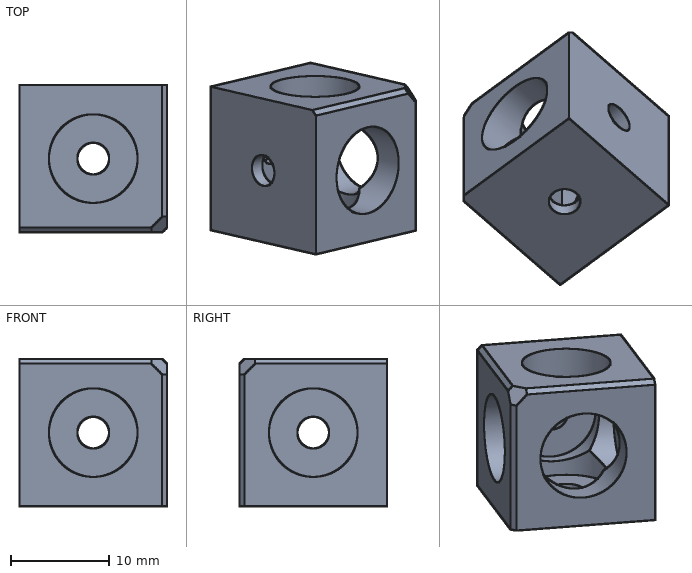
import cadquery as cq

side = 15.0
bore_diameter = 9.0
screw_hole_diameter = 3.2
floor_thickness = 1.5
edge_chamfer = 0.5
corner_setback = 2.1

half = side / 2
bore_depth = side - floor_thickness

bored_faces = [(1, 0, 0), (0, -1, 0), (0, 0, 1)]


def drill(diameter, depth, outward):
    """Cylinder running inward from the centre of the face with this outward direction."""
    start = cq.Vector(*outward) * half
    inward = cq.Vector(*outward) * -1
    return cq.Workplane(obj=cq.Solid.makeCylinder(diameter / 2, depth, start, inward))


def corner_cutter(setback):
    """Tetrahedron that removes the corner shared by the bored faces."""
    corner = cq.Vector(half, -half, half)
    tips = [corner - cq.Vector(*outward) * setback for outward in bored_faces]
    triangles = [
        (tips[0], tips[1], tips[2]),
        (corner, tips[0], tips[1]),
        (corner, tips[1], tips[2]),
        (corner, tips[2], tips[0]),
    ]
    faces = [cq.Face.makeFromWires(cq.Wire.makePolygon(list(t), close=True)) for t in triangles]
    return cq.Workplane(obj=cq.Solid.makeSolid(cq.Shell.makeShell(faces)))


block = cq.Workplane("XY").box(side, side, side)
shared_edges = block.edges("(>X and >Z) or (>X and <Y) or (<Y and >Z)")
block = shared_edges.chamfer(edge_chamfer)

block = block.cut(corner_cutter(corner_setback))

for face_direction in bored_faces:
    block = block.cut(drill(bore_diameter, bore_depth, face_direction))
    block = block.cut(drill(screw_hole_diameter, side, face_direction))

result = block